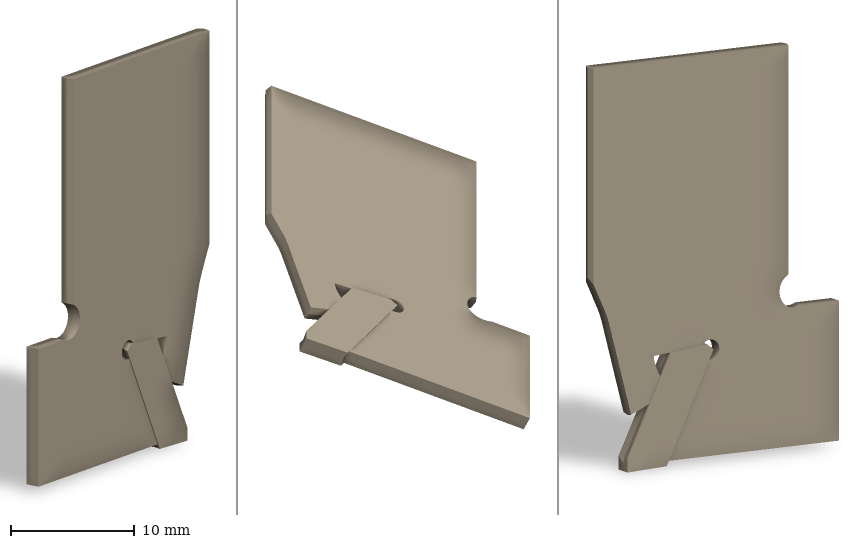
import cadquery as cq
import math

HOLDER_THICKNESS = 1.2
INSERT_THICKNESS = 1.4

HEIGHT = 33.65
BOTTOM_Z = 0.55
STEP_Z = 12.08
REAR_RIDGE = 0.25
FRONT_RIDGE = 0.17
BLADE_FRONT_Y = 4.55
BLADE_REAR_Y = 23.15
FRONT_FLANK_Y = BLADE_FRONT_Y + FRONT_RIDGE
REAR_FLANK_Y = BLADE_REAR_Y - REAR_RIDGE
NOTCH_CENTER = (4.07, 13.4)
NOTCH_RADIUS = 1.48
RELIEF_TOP = (REAR_FLANK_Y, 15.8)
RELIEF_BEND_START = (21.9, 13.63)
RELIEF_BEND_MIDDLE = (21.65, 12.95)
RELIEF_BEND_END = (21.45, 12.3)
JAW_TIP = (19.4, 4.7)
JAW_CONTACT_LOW_Z = 5.42
JAW_CONTACT_HIGH_Z = 7.6
POCKET_ARC_MIDDLE = (17.1, 8.4)
POCKET_REAR_TOP = (17.3, 9.32)
RELIEF_HOLE_CENTER = (12.0, 9.3)
RELIEF_HOLE_RADIUS = 0.85

INSERT_REAR_LOW = (19.82, 1.1)
INSERT_REAR_HIGH = (15.78, 9.45)
INSERT_TOP_FRONT = (12.35, 9.8)
INSERT_FRONT_HIGH = (11.78, 9.32)
INSERT_FRONT_LOW = (16.15, 0.15)
SEAT_RIDGE = 0.17
GROOVE_OVERRUN = 0.35
JAW_RIDGE = 0.15


def at_height(low, high, z):
    """Point at height z on the line through two profile points."""
    fraction = (z - low[1]) / (high[1] - low[1])
    return (low[0] + fraction * (high[0] - low[0]), z)


def extrude_profile(sketch, thickness):
    return sketch.extrude(thickness / 2, both=True)


def profile_plane():
    return cq.Workplane("YZ")


def v_ridge(start, end, height):
    """Triangular bar as wide as the holder, with its crest to the left of start -> end."""
    along_y = end[0] - start[0]
    along_z = end[1] - start[1]
    length = math.hypot(along_y, along_z)
    plane = cq.Plane(
        origin=(0, start[0], start[1]),
        xDir=(1, 0, 0),
        normal=(0, along_y, along_z),
    )
    side = plane.yDir.dot(cq.Vector(0, -along_z, along_y))
    crest = math.copysign(height, side)
    half_width = HOLDER_THICKNESS / 2
    section = [(-half_width, 0), (half_width, 0), (0, crest)]
    return cq.Workplane(plane).polyline(section).close().extrude(length)


def cylinder(center, radius):
    return extrude_profile(profile_plane().center(*center).circle(radius), INSERT_THICKNESS)


JAW_CONTACT_LOW = at_height(INSERT_REAR_LOW, INSERT_REAR_HIGH, JAW_CONTACT_LOW_Z)
JAW_CONTACT_HIGH = at_height(INSERT_REAR_LOW, INSERT_REAR_HIGH, JAW_CONTACT_HIGH_Z)
SEAT_LOW = at_height(INSERT_FRONT_LOW, INSERT_FRONT_HIGH, BOTTOM_Z)

GROOVE_FRONT_HIGH = at_height(INSERT_FRONT_LOW, INSERT_FRONT_HIGH, INSERT_FRONT_HIGH[1] + GROOVE_OVERRUN)
GROOVE_FRONT_LOW = at_height(INSERT_FRONT_LOW, INSERT_FRONT_HIGH, INSERT_FRONT_LOW[1] - GROOVE_OVERRUN)
GROOVE_REAR_HIGH = at_height(INSERT_REAR_LOW, INSERT_REAR_HIGH, INSERT_REAR_HIGH[1] + GROOVE_OVERRUN)
GROOVE_REAR_LOW = at_height(INSERT_REAR_LOW, INSERT_REAR_HIGH, INSERT_REAR_LOW[1] - GROOVE_OVERRUN)


def rear_ridge():
    """V on the rear edge, its lower end sloped in line with the relief of the jaw."""
    slope = (RELIEF_TOP[1] - RELIEF_BEND_START[1]) / (RELIEF_TOP[0] - RELIEF_BEND_START[0])
    crest_foot = (BLADE_REAR_Y, RELIEF_TOP[1] + slope * REAR_RIDGE)
    below_slope = [RELIEF_TOP, crest_foot, (BLADE_REAR_Y, RELIEF_TOP[1])]
    trim = extrude_profile(profile_plane().polyline(below_slope).close(), HOLDER_THICKNESS)
    return v_ridge((REAR_FLANK_Y, HEIGHT), RELIEF_TOP, REAR_RIDGE).cut(trim)


def make_holder():
    body = extrude_profile(
        profile_plane()
        .moveTo(0, BOTTOM_Z)
        .lineTo(0, STEP_Z)
        .lineTo(FRONT_FLANK_Y, STEP_Z)
        .lineTo(FRONT_FLANK_Y, HEIGHT)
        .lineTo(REAR_FLANK_Y, HEIGHT)
        .lineTo(*RELIEF_TOP)
        .lineTo(*RELIEF_BEND_START)
        .threePointArc(RELIEF_BEND_MIDDLE, RELIEF_BEND_END)
        .lineTo(*JAW_TIP)
        .lineTo(*JAW_CONTACT_LOW)
        .lineTo(*JAW_CONTACT_HIGH)
        .threePointArc(POCKET_ARC_MIDDLE, POCKET_REAR_TOP)
        .lineTo(*INSERT_REAR_HIGH)
        .lineTo(*INSERT_TOP_FRONT)
        .lineTo(*INSERT_FRONT_HIGH)
        .lineTo(*SEAT_LOW)
        .close(),
        HOLDER_THICKNESS,
    )
    body = body.union(v_ridge((FRONT_FLANK_Y, STEP_Z), (FRONT_FLANK_Y, HEIGHT), FRONT_RIDGE))
    body = body.union(rear_ridge())
    body = body.union(v_ridge(JAW_TIP, JAW_CONTACT_LOW, JAW_RIDGE))
    body = body.union(v_ridge(JAW_CONTACT_LOW, JAW_CONTACT_HIGH, SEAT_RIDGE))
    body = body.union(v_ridge(INSERT_FRONT_HIGH, SEAT_LOW, SEAT_RIDGE))
    body = body.cut(cylinder(NOTCH_CENTER, NOTCH_RADIUS))
    body = body.cut(cylinder(RELIEF_HOLE_CENTER, RELIEF_HOLE_RADIUS))
    return body.solids()


def make_insert():
    profile = [
        (INSERT_REAR_LOW[0], 0),
        INSERT_REAR_LOW,
        INSERT_REAR_HIGH,
        INSERT_TOP_FRONT,
        INSERT_FRONT_HIGH,
        INSERT_FRONT_LOW,
    ]
    body = extrude_profile(profile_plane().polyline(profile).close(), INSERT_THICKNESS)
    body = body.cut(v_ridge(GROOVE_REAR_LOW, GROOVE_REAR_HIGH, SEAT_RIDGE))
    return body.cut(v_ridge(GROOVE_FRONT_HIGH, GROOVE_FRONT_LOW, SEAT_RIDGE))


holder = make_holder()
insert = make_insert()
result = cq.Compound.makeCompound([holder.val(), insert.val()])